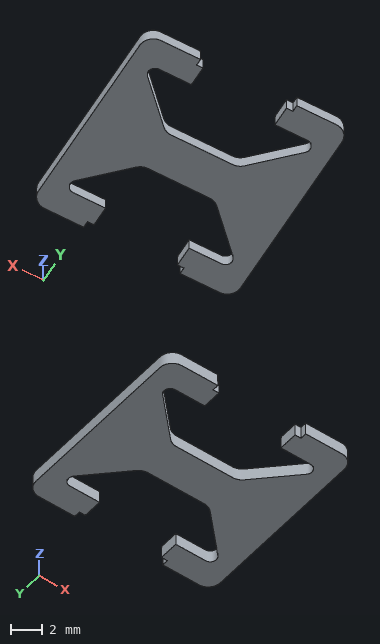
import cadquery as cq
import math

side = 15.0
thickness = 1.0
outer_radius = 1.0

mouth_width = 6.18
step_width = 7.14
step_depth = 0.5

arm_thickness = 2.0
web_width = 3.0
window_reach = 6.0
tip_radius = 0.5
web_radius = 1.0

edge = side / 2
window_inner = web_width / 2
window_outer = edge - arm_thickness

tip_setback = tip_radius / math.tan(math.radians(22.5))
outer_half = window_reach - tip_radius + tip_setback
inner_half = outer_half - (window_outer - window_inner)


def centered_slot(width, depth):
    """Rectangular cut inward from the +Y edge."""
    return cq.Workplane("XY").center(0, edge - depth / 2).rect(width, depth).extrude(thickness)


def window():
    """Trapezoid with rounded corners, wide side toward the +Y edge."""
    outline = [
        (-inner_half, window_inner),
        (inner_half, window_inner),
        (outer_half, window_outer),
        (-outer_half, window_outer),
    ]
    body = cq.Workplane("XY").polyline(outline).close().extrude(thickness)
    body = body.edges("|Z").edges("<Y").fillet(web_radius)
    return body.edges("|Z").edges("<X or >X").fillet(tip_radius)


opening = (
    window()
    .union(centered_slot(mouth_width, arm_thickness))
    .union(centered_slot(step_width, step_depth))
)

plate = cq.Workplane("XY").rect(side, side).extrude(thickness).edges("|Z").fillet(outer_radius)
result = plate.cut(opening).cut(opening.mirror("XZ"))